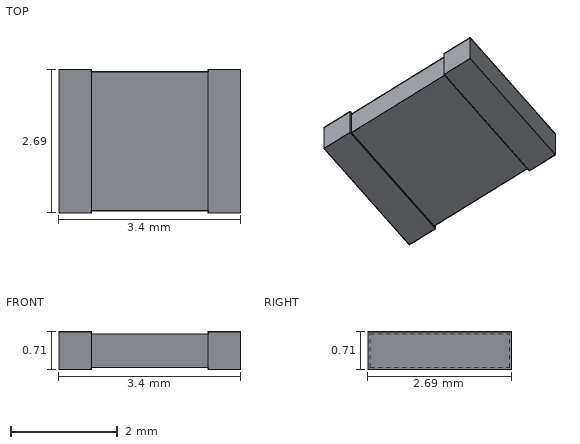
import cadquery as cq

length = 3.4
width = 2.69
height = 0.71

terminal_length = 0.61
step = 0.04

body_length = length - 2 * terminal_length
body_width = width - 2 * step
body_height = height - 2 * step
terminal_offset = (length - terminal_length) / 2


def make_body():
    """Plain block filling the space between the two terminals."""
    return cq.Workplane("XY").box(body_length, body_width, body_height)


def make_terminal(center_x):
    """End block, flush against one end face of the body."""
    return cq.Workplane("XY").box(terminal_length, width, height).translate((center_x, 0, 0))


body = make_body()
terminals = []
for side in (-1, 1):
    terminals.append(make_terminal(side * terminal_offset).val())

result = cq.Compound.makeCompound([body.val(), *terminals])